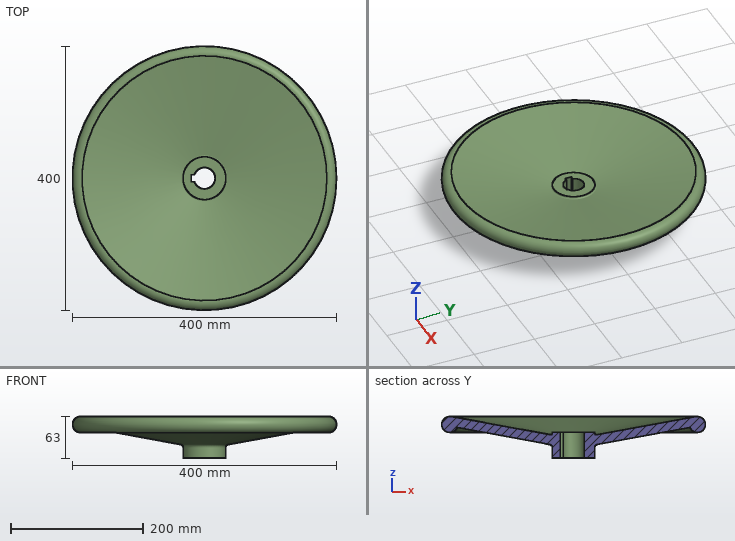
import cadquery as cq

outer_radius = 200.0
rim_section_radius = 12.5
rim_center_radius = outer_radius - rim_section_radius

hub_radius = 32.5
hub_top = -24.0
hub_bottom = -63.0
bore_radius = 16.0
keyway_width = 10.0
keyway_reach = 20.0

web_outer_radius = 185.0
web_drop = 28.0
web_slope = web_drop / (web_outer_radius - hub_radius)
web_thickness = 15.5
top_fillet = 2.0
bottom_fillet = 4.0


def web_top(radius):
    """Height of the upper face of the web, which starts level with the rim."""
    return -web_slope * (web_outer_radius - radius)


def web_bottom(radius):
    return web_top(radius) - web_thickness


def make_hub_and_web():
    """Revolve the hub and web together, then round the two inner corners."""
    body = (
        cq.Workplane("XZ")
        .moveTo(0, hub_bottom)
        .lineTo(hub_radius, hub_bottom)
        .lineTo(hub_radius, web_bottom(hub_radius))
        .lineTo(web_outer_radius, web_bottom(web_outer_radius))
        .lineTo(web_outer_radius, web_top(web_outer_radius))
        .lineTo(hub_radius, web_top(hub_radius))
        .lineTo(hub_radius, hub_top)
        .lineTo(0, hub_top)
        .close()
        .revolve(360, (0, 0, 0), (0, 1, 0))
    )
    body = fillet_hub_corner(body, web_top(hub_radius), top_fillet)
    return fillet_hub_corner(body, web_bottom(hub_radius), bottom_fillet)


def fillet_hub_corner(body, height, radius):
    """Round the circular corner where the hub wall meets the web at a height."""
    margin = 0.5
    reach = hub_radius + margin
    corner = cq.selectors.BoxSelector(
        (-reach, -reach, height - margin),
        (reach, reach, height + margin),
        boundingbox=True,
    )
    return body.edges(corner).edges("%CIRCLE").fillet(radius)


def make_rim():
    return (
        cq.Workplane("XZ")
        .center(rim_center_radius, -rim_section_radius)
        .circle(rim_section_radius)
        .revolve(360, (-rim_center_radius, 0, 0), (-rim_center_radius, 1, 0))
    )


def make_keyed_bore():
    """Through bore with a straight keyway on its -X side."""
    length = hub_top - hub_bottom
    base = cq.Workplane("XY").workplane(offset=hub_bottom)
    bore = base.circle(bore_radius).extrude(length)
    keyway = base.center(-keyway_reach / 2, 0).rect(keyway_reach, keyway_width).extrude(length)
    return bore.union(keyway)


result = make_hub_and_web().union(make_rim()).cut(make_keyed_bore())